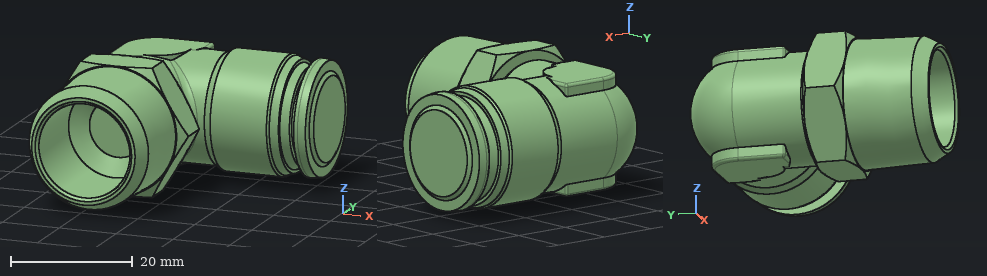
import cadquery as cq
import math


hex_flats = 22.0
hex_corner_radius = hex_flats / math.sqrt(3)
hex_start = 12.6
hex_end = 19.45
hex_chamfer_angle = 30

leg_radius = 9.5
leg_end = 11.85
leg_end_chamfer = 0.5
inner_corner_fillet = 1.25
fillet_crown_gap = 0.65

pad_radius = 6.0
pad_reach = 8.05
pad_thickness = 2.2
pad_edge_fillet = 0.52
pad_corner_fillet = 0.35
pad_runout = 7.05
pad_runout_length = 2.7

neck_radius = 8.22
thread_base_radius = 10.85
thread_tip_radius = 10.5
thread_taper_end = 31.0
thread_end = 33.5
thread_end_radius = 9.1

bore_radius = 8.0
bore_mouth_chamfer = 0.5
bore_floor_radius = 5.0
bore_cone_start = hex_end
bore_cone_slope = 30
bore_cone_length = (bore_radius - bore_floor_radius) * math.tan(math.radians(bore_cone_slope))
bore_floor = bore_cone_start - bore_cone_length

overall_x = 43.1
collar_cone_start = 12.05
collar_start = 13.35
collar_end = 23.25
collar_radius = 10.25
outer_ring_start = 23.62
outer_ring_end = 25.05
outer_ring_radius = 9.95
outer_ring_end_radius = 9.5
inner_ring_end = 26.55
inner_ring_radius = 8.9
inner_ring_end_radius = 8.35
sleeve_radius = 7.35
sleeve_flare_start = 27.45
sleeve_flare_radius = 7.5
flange_start = 27.9
flange_rim_end = 28.52
flange_end = 29.9
flange_radius = 9.95
flange_end_radius = 9.7
lip_radius = 7.9
lip_end_radius = 7.2
socket_end = overall_x - hex_corner_radius


def turned_on_x(profile):
    """Revolve (x, radius) points about the socket axis."""
    points = [(profile[0][0], 0)] + profile + [(profile[-1][0], 0)]
    return cq.Workplane("XY").polyline(points).close().revolve(360, (0, 0), (1, 0))


def turned_on_y(profile):
    """Revolve (distance along -Y, radius) points about the thread axis."""
    outline = [(profile[0][0], 0)] + profile + [(profile[-1][0], 0)]
    points = [(radius, -distance) for distance, radius in outline]
    return cq.Workplane("XY").polyline(points).close().revolve(360, (0, 0), (0, 1))


def make_elbow():
    """Two equal legs meeting in a ball, with the inner corner filleted."""
    socket_leg = turned_on_x([(0, leg_radius), (collar_start, leg_radius)])
    thread_leg = turned_on_y([
        (0, leg_radius),
        (leg_end, leg_radius),
        (leg_end + leg_end_chamfer, leg_radius - leg_end_chamfer),
    ])
    legs = socket_leg.union(thread_leg)

    slab_side = 2 * thread_end
    slab = cq.Workplane("XY").box(slab_side, slab_side, 2 * (leg_radius - fillet_crown_gap))
    corner_near = 0.3 * leg_radius
    corner_far = 0.9 * leg_radius
    inner_corner = cq.selectors.BoxSelector(
        (corner_near, -corner_far, -leg_radius),
        (corner_far, -corner_near, leg_radius),
    )
    filleted_legs = legs.intersect(slab).edges(inner_corner).fillet(inner_corner_fillet)
    ball = cq.Workplane("XY").sphere(leg_radius)
    return legs.union(filleted_legs).union(ball)


def make_pad():
    """Pad on the +Z side, its flat top level with the crowns of both legs."""
    base = cq.Workplane("XY").workplane(offset=leg_radius - pad_thickness)
    plate = (
        base.moveTo(-pad_radius, 0)
        .radiusArc((0, pad_radius), pad_radius)
        .lineTo(pad_reach, pad_radius)
        .lineTo(pad_reach, -pad_reach)
        .lineTo(-pad_radius, -pad_reach)
        .close()
        .extrude(pad_thickness)
    )
    plate = plate.edges("|Z and (>Y or <X)").edges(">X or <Y").fillet(pad_corner_fillet)
    plate = plate.faces(">Z").edges().fillet(pad_edge_fillet)

    relief = (
        base.moveTo(0, 0)
        .lineTo(pad_runout, 0)
        .lineTo(pad_reach, pad_runout_length)
        .lineTo(pad_reach, -pad_reach)
        .lineTo(-pad_runout_length, -pad_reach)
        .lineTo(0, -pad_runout)
        .close()
        .extrude(pad_thickness)
    )
    quarter_disc = base.circle(pad_radius).extrude(pad_thickness).intersect(relief)
    return plate.cut(relief).union(quarter_disc)


def make_hexagon():
    """Hexagon with two corners on the X axis, both ends chamfered to the flats."""
    hexagon = (
        cq.Workplane("XZ").workplane(offset=hex_start)
        .polygon(6, 2 * hex_corner_radius)
        .extrude(hex_end - hex_start)
    )
    chamfer_radius = hex_flats / 2
    chamfer_depth = (hex_corner_radius - chamfer_radius) * math.tan(math.radians(hex_chamfer_angle))
    chamfer_envelope = turned_on_y([
        (hex_start, chamfer_radius),
        (hex_start + chamfer_depth, hex_corner_radius),
        (hex_end - chamfer_depth, hex_corner_radius),
        (hex_end, chamfer_radius),
    ])
    return hexagon.intersect(chamfer_envelope)


def make_thread():
    """Neck under the elbow and the plain tapered thread blank."""
    return turned_on_y([
        (leg_end, neck_radius),
        (hex_end, neck_radius),
        (hex_end, thread_base_radius),
        (thread_taper_end, thread_tip_radius),
        (thread_end, thread_end_radius),
    ])


def make_bore():
    """Cutter for the blind bore with its mouth chamfer and cone."""
    return turned_on_y([
        (bore_floor, bore_floor_radius),
        (bore_cone_start, bore_radius),
        (thread_end - bore_mouth_chamfer, bore_radius),
        (thread_end, bore_radius + bore_mouth_chamfer),
    ])


def make_socket():
    """Collar, tapered rings and flanged release sleeve."""
    return turned_on_x([
        (collar_cone_start, leg_radius),
        (collar_start, collar_radius),
        (collar_end, collar_radius),
        (outer_ring_start, outer_ring_radius),
        (outer_ring_end, outer_ring_end_radius),
        (outer_ring_end, inner_ring_radius),
        (inner_ring_end, inner_ring_end_radius),
        (inner_ring_end, sleeve_radius),
        (sleeve_flare_start, sleeve_radius),
        (flange_start, sleeve_flare_radius),
        (flange_start, flange_radius),
        (flange_rim_end, flange_radius),
        (flange_end, flange_end_radius),
        (flange_end, lip_radius),
        (socket_end, lip_end_radius),
    ])


pad = make_pad()
result = (
    make_elbow()
    .union(pad)
    .union(pad.mirror("XY"))
    .union(make_socket())
    .union(make_hexagon())
    .union(make_thread())
    .cut(make_bore())
)